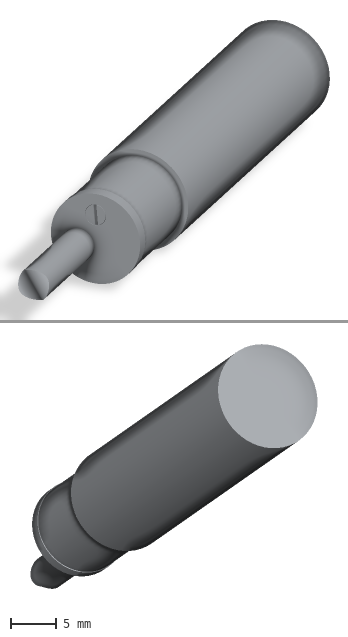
import cadquery as cq

body_diameter = 12.0
body_length = 41.5
neck_diameter = 10.5
collar_diameter = 10.7
collar_length = 1.5
head_length = 12.5
neck_length = head_length - collar_length

pin_diameter = 3.9
pin_length = 13.5
pin_x = -2.1
pin_z = -1.0
wave_height = 0.5
wave_angle = 32.0

recess_diameter = 2.5
recess_depth = 0.3
screw_clearance = 0.05
screw_diameter = recess_diameter - 2 * screw_clearance
screw_z = 2.85
slot_width = 0.4
slot_tilt = 5.0

Y_AXIS = cq.Vector(0, 1, 0)


def rod(diameter, start_y, length, x=0.0, z=0.0):
    """Round bar along +Y from start_y."""
    return cq.Workplane(cq.Solid.makeCylinder(diameter / 2, length, cq.Vector(x, start_y, z), Y_AXIS))


def pin():
    """Pin whose end follows two equal arcs, one hollow and one raised, across its diameter."""
    reach = pin_diameter / 2
    middle_y = wave_height - pin_length
    profile = (
        cq.Workplane("XY")
        .moveTo(-reach, 0)
        .lineTo(-reach, middle_y)
        .threePointArc((-reach / 2, middle_y + wave_height), (0, middle_y))
        .threePointArc((reach / 2, middle_y - wave_height), (reach, middle_y))
        .lineTo(reach, 0)
        .close()
        .extrude(reach, both=True)
        .rotate((0, 0, 0), (0, 1, 0), -wave_angle)
    )
    return rod(pin_diameter, -pin_length, pin_length).intersect(profile).translate((pin_x, 0, pin_z))


def screw_gap():
    """Narrow ring of clearance around the screw head."""
    return rod(recess_diameter, 0, recess_depth).cut(rod(screw_diameter, 0, recess_depth))


def screw_slot():
    """Screwdriver slot across the full width of the screw head."""
    return (
        cq.Workplane("XY")
        .box(slot_width, recess_depth, recess_diameter, centered=(True, False, True))
        .rotate((0, 0, 0), (0, 1, 0), -slot_tilt)
        .intersect(rod(screw_diameter, 0, recess_depth))
    )


body = rod(body_diameter, head_length, body_length)
neck = rod(neck_diameter, collar_length, neck_length)
collar = rod(collar_diameter, 0, collar_length)

screw_cut = screw_gap().union(screw_slot()).translate((0, 0, screw_z))

result = body.union(neck).union(collar).cut(screw_cut).union(pin())